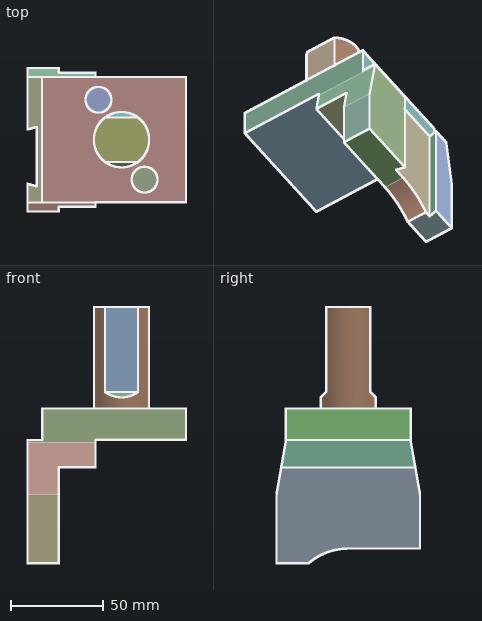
import cadquery as cq
import math


PLATE_LEFT = -43.0
PLATE_RIGHT = 35.0
PLATE_WIDTH = 68.0
PLATE_THICKNESS = 17.0

SHANK_DIAMETER = 30.0
SHANK_HEIGHT = 55.0
FLATS_SPACING = 24.0
FLATS_START = 9.0
RUNOUT_HEIGHT = 3.0

HOLE_DIAMETER = 14.0
HOLE_DEPTH = 8.0
HOLE_CIRCLE_RADIUS = 25.0
HOLE_ANGLES = (120.0, 300.0)

BRACKET_OVERHANG = 8.0
BRACKET_FACE = PLATE_LEFT - BRACKET_OVERHANG
BRACKET_FOOT_LENGTH = 37.0
BRACKET_FOOT_THICKNESS = 15.0
BRACKET_WALL = 17.0
BRACKET_WIDTH = 78.0
BRACKET_HEIGHT = 67.0
SHORT_SIDE_HEIGHT = 59.0
TAPER_ANGLE = 10.0
TAPER_END = -29.7
ARC_END_Y = -21.6

SLOT_CENTER_Y = -9.2
SLOT_BASE_WIDTH = 32.0
SLOT_DEPTH = 5.0
SLOT_FLANK_ANGLE = 15.0


def make_plate():
    length = PLATE_RIGHT - PLATE_LEFT
    return (
        cq.Workplane("XY")
        .box(length, PLATE_WIDTH, PLATE_THICKNESS, centered=(False, True, False))
        .translate((PLATE_LEFT, 0, 0))
    )


def make_shank():
    radius = SHANK_DIAMETER / 2
    half_flats = FLATS_SPACING / 2
    base = PLATE_THICKNESS
    top = base + SHANK_HEIGHT
    flat_start = base + FLATS_START
    shank = cq.Workplane("XY").workplane(offset=base).circle(radius).extrude(SHANK_HEIGHT)
    cutter = (
        cq.Workplane("YZ")
        .moveTo(half_flats, top)
        .lineTo(half_flats, flat_start)
        .lineTo(radius, flat_start - RUNOUT_HEIGHT)
        .lineTo(radius, top)
        .close()
        .extrude(radius, both=True)
    )
    return shank.cut(cutter).cut(cutter.mirror("XZ"))


def make_holes():
    centers = []
    for angle in HOLE_ANGLES:
        x = HOLE_CIRCLE_RADIUS * math.cos(math.radians(angle))
        y = HOLE_CIRCLE_RADIUS * math.sin(math.radians(angle))
        centers.append((x, y))
    return (
        cq.Workplane("XY")
        .workplane(offset=PLATE_THICKNESS)
        .pushPoints(centers)
        .circle(HOLE_DIAMETER / 2)
        .extrude(-HOLE_DEPTH)
    )


def make_bracket():
    """L-shaped side profile intersected with the tapered outline of its front face."""
    side_profile = (
        cq.Workplane("XZ")
        .moveTo(BRACKET_FACE, 0)
        .lineTo(BRACKET_FACE + BRACKET_FOOT_LENGTH, 0)
        .lineTo(BRACKET_FACE + BRACKET_FOOT_LENGTH, -BRACKET_FOOT_THICKNESS)
        .lineTo(BRACKET_FACE + BRACKET_WALL, -BRACKET_FOOT_THICKNESS)
        .lineTo(BRACKET_FACE + BRACKET_WALL, -BRACKET_HEIGHT)
        .lineTo(BRACKET_FACE, -BRACKET_HEIGHT)
        .close()
        .extrude(BRACKET_WIDTH / 2, both=True)
    )

    half_top = PLATE_WIDTH / 2
    half_width = BRACKET_WIDTH / 2
    taper_height = (half_width - half_top) / math.tan(math.radians(TAPER_ANGLE))
    taper_start = TAPER_END + taper_height

    arc_drop = BRACKET_HEIGHT - SHORT_SIDE_HEIGHT
    arc_radius = (ARC_END_Y**2 + arc_drop**2) / (2 * arc_drop)
    arc_half_angle = math.asin(-ARC_END_Y / arc_radius) / 2
    arc_mid_y = -arc_radius * math.sin(arc_half_angle)
    arc_mid_z = -SHORT_SIDE_HEIGHT - arc_radius * (1 - math.cos(arc_half_angle))

    face_outline = (
        cq.Workplane("YZ")
        .workplane(offset=BRACKET_FACE)
        .moveTo(half_top, 0)
        .lineTo(half_top, taper_start)
        .lineTo(half_width, TAPER_END)
        .lineTo(half_width, -SHORT_SIDE_HEIGHT)
        .lineTo(0, -SHORT_SIDE_HEIGHT)
        .threePointArc((arc_mid_y, arc_mid_z), (ARC_END_Y, -BRACKET_HEIGHT))
        .lineTo(-half_width, -BRACKET_HEIGHT)
        .lineTo(-half_width, TAPER_END)
        .lineTo(-half_top, taper_start)
        .lineTo(-half_top, 0)
        .close()
        .extrude(BRACKET_FOOT_LENGTH)
    )
    return side_profile.intersect(face_outline)


def make_dovetail_slot():
    half_base = SLOT_BASE_WIDTH / 2
    half_mouth = half_base - SLOT_DEPTH * math.tan(math.radians(SLOT_FLANK_ANGLE))
    return (
        cq.Workplane("XY")
        .moveTo(BRACKET_FACE, SLOT_CENTER_Y - half_mouth)
        .lineTo(BRACKET_FACE + SLOT_DEPTH, SLOT_CENTER_Y - half_base)
        .lineTo(BRACKET_FACE + SLOT_DEPTH, SLOT_CENTER_Y + half_base)
        .lineTo(BRACKET_FACE, SLOT_CENTER_Y + half_mouth)
        .close()
        .extrude(-BRACKET_HEIGHT)
    )


plate = make_plate().union(make_shank()).cut(make_holes())
bracket = make_bracket().cut(make_dovetail_slot())
result = plate.union(bracket)